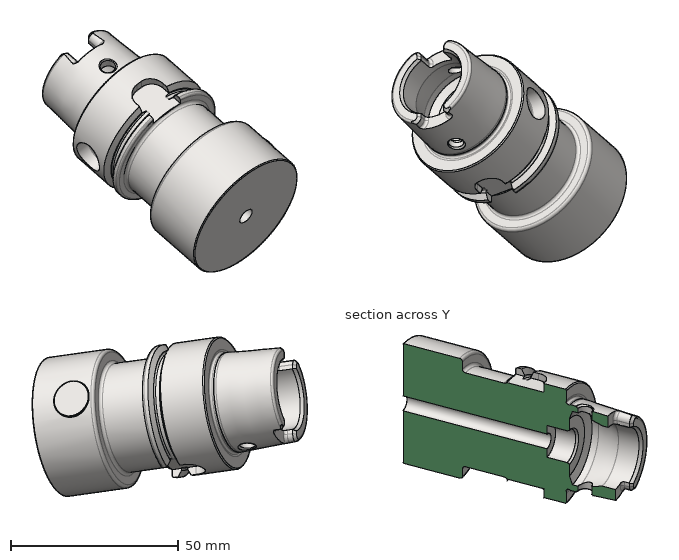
import cadquery as cq
import math


TOTAL_LENGTH = 74.9
SHANK_LENGTH = 19.9
FLANGE_WIDTH = 20.0
HEAD_LENGTH = 20.0
FLANGE_END = SHANK_LENGTH + FLANGE_WIDTH
HEAD_START = TOTAL_LENGTH - HEAD_LENGTH

TAPER_MOUTH_RADIUS = 14.19
TAPER_SLOPE = 0.05
FLANGE_RADIUS = 20.0
NECK_RADIUS = 16.5
HEAD_RADIUS = 21.01

MOUTH_FILLET = 0.75
FLANGE_FRONT_CHAMFER = 0.4
FLANGE_REAR_FILLET = 0.75
NECK_FILLET = 1.0
HEAD_FILLET = 1.0
HEAD_END_CHAMFER = 0.3

TAPER_LENGTH = 18.0
RELIEF_BAND_END = 18.65
RELIEF_CHAMFER = 0.2
RELIEF_RADIUS = 14.87
RELIEF_FILLET = 0.7
RELIEF_OUTER_RADIUS = 16.2
RELIEF_DEPTH = 0.13

GROOVE_CENTER = 35.9
GROOVE_FLOOR_WIDTH = 1.95
GROOVE_FLOOR_RADIUS = 17.4
GROOVE_FILLET = 0.4
GROOVE_FLARE_RADIUS = 18.1
GROOVE_FLARE_WIDTH = (FLANGE_RADIUS - GROOVE_FLARE_RADIUS) * math.tan(math.radians(30))

BORE_RADIUS = 10.45
BORE_CHAMFER_RADIUS = 11.1
BORE_CHAMFER_LENGTH = 1.05
BORE_LENGTH = 7.95
CAVITY_RADIUS = 12.7
CAVITY_CONE_END = 15.7
CAVITY_WALL_END = 18.0
CAVITY_FLOOR_RADIUS = 9.9
CAVITY_FLOOR_X = CAVITY_WALL_END + (CAVITY_RADIUS - CAVITY_FLOOR_RADIUS) * math.tan(math.radians(20))
SOCKET_RADIUS = 5.5
SOCKET_MOUTH_RADIUS = 5.9
SOCKET_CHAMFER_LENGTH = 0.75
SOCKET_DEPTH = 7.5
THROUGH_RADIUS = 2.51

TOP_NOTCH_DEPTH = 6.1
BOTTOM_NOTCH_DEPTH = 3.5
NOTCH_HALF_WIDTH = 4.0
NOTCH_ROUND_START = 11.0
NOTCH_ROUND_RADIUS = 2.0
NOTCH_RUNOUT_ANGLE = 15.0
NOTCH_FLOOR_FILLET = 0.9
NOTCH_MOUTH_CHAMFER = 0.9

CROSS_HOLE_X = 13.85
CROSS_HOLE_RADIUS = 2.285
CROSS_HOLE_SINK_RADIUS = 2.85
CROSS_HOLE_SINK_DEPTH = 0.5

SLOT_FLOOR_HEIGHT = 16.9
SLOT_START = 27.7
TOP_SLOT_HALF_WIDTH = 5.5
BOTTOM_SLOT_HALF_WIDTH = 4.5
SLOT_CORNER_RADIUS = BOTTOM_SLOT_HALF_WIDTH

CHIP_POCKET_X = 26.9
CHIP_POCKET_RADIUS = 5.0
CHIP_POCKET_DEPTH = 4.6
CHIP_POCKET_FILLET = 0.2

SCREW_X = 62.2
SCREW_RADIUS = 5.7
SCREW_LENGTH = 15.0
SCREW_CHAMFER = 0.2

CLEARANCE = 3.75


def taper_radius(x):
    return TAPER_MOUTH_RADIUS + TAPER_SLOPE * x


def make_outside():
    """Turned outside of the holder, solid."""
    band_radius = taper_radius(TAPER_LENGTH)
    relief_fillet_x = SHANK_LENGTH + RELIEF_DEPTH - RELIEF_FILLET
    groove_left = GROOVE_CENTER - GROOVE_FLOOR_WIDTH / 2
    groove_right = GROOVE_CENTER + GROOVE_FLOOR_WIDTH / 2
    outline = (
        cq.Workplane("XZ")
        .moveTo(0, 0)
        .lineTo(0, TAPER_MOUTH_RADIUS - MOUTH_FILLET)
        .radiusArc((MOUTH_FILLET, taper_radius(MOUTH_FILLET)), MOUTH_FILLET)
        .lineTo(TAPER_LENGTH, band_radius)
        .lineTo(RELIEF_BAND_END, band_radius)
        .lineTo(RELIEF_BAND_END + RELIEF_CHAMFER, RELIEF_RADIUS)
        .lineTo(relief_fillet_x, RELIEF_RADIUS)
        .radiusArc((SHANK_LENGTH + RELIEF_DEPTH, RELIEF_RADIUS + RELIEF_FILLET), -RELIEF_FILLET)
        .lineTo(SHANK_LENGTH, RELIEF_OUTER_RADIUS)
        .lineTo(SHANK_LENGTH, FLANGE_RADIUS - FLANGE_FRONT_CHAMFER)
        .lineTo(SHANK_LENGTH + FLANGE_FRONT_CHAMFER, FLANGE_RADIUS)
        .lineTo(groove_left - GROOVE_FLARE_WIDTH, FLANGE_RADIUS)
        .lineTo(groove_left, GROOVE_FLARE_RADIUS)
        .lineTo(groove_left, GROOVE_FLOOR_RADIUS + GROOVE_FILLET)
        .radiusArc((groove_left + GROOVE_FILLET, GROOVE_FLOOR_RADIUS), -GROOVE_FILLET)
        .lineTo(groove_right - GROOVE_FILLET, GROOVE_FLOOR_RADIUS)
        .radiusArc((groove_right, GROOVE_FLOOR_RADIUS + GROOVE_FILLET), -GROOVE_FILLET)
        .lineTo(groove_right, GROOVE_FLARE_RADIUS)
        .lineTo(groove_right + GROOVE_FLARE_WIDTH, FLANGE_RADIUS)
        .lineTo(FLANGE_END - FLANGE_REAR_FILLET, FLANGE_RADIUS)
        .radiusArc((FLANGE_END, FLANGE_RADIUS - FLANGE_REAR_FILLET), FLANGE_REAR_FILLET)
        .lineTo(FLANGE_END, NECK_RADIUS + NECK_FILLET)
        .radiusArc((FLANGE_END + NECK_FILLET, NECK_RADIUS), -NECK_FILLET)
        .lineTo(HEAD_START - NECK_FILLET, NECK_RADIUS)
        .radiusArc((HEAD_START, NECK_RADIUS + NECK_FILLET), -NECK_FILLET)
        .lineTo(HEAD_START, HEAD_RADIUS - HEAD_FILLET)
        .radiusArc((HEAD_START + HEAD_FILLET, HEAD_RADIUS), HEAD_FILLET)
        .lineTo(TOTAL_LENGTH - HEAD_END_CHAMFER, HEAD_RADIUS)
        .lineTo(TOTAL_LENGTH, HEAD_RADIUS - HEAD_END_CHAMFER)
        .lineTo(TOTAL_LENGTH, 0)
        .close()
    )
    return outline.revolve(360, (0, 0), (1, 0))


def make_inside():
    """Hollow of the shank, its socket and the hole along the axis."""
    socket_end = CAVITY_FLOOR_X + SOCKET_DEPTH
    outline = cq.Workplane("XZ").polyline([
        (0, 0),
        (0, BORE_CHAMFER_RADIUS),
        (BORE_CHAMFER_LENGTH, BORE_RADIUS),
        (BORE_LENGTH, BORE_RADIUS),
        (CAVITY_CONE_END, CAVITY_RADIUS),
        (CAVITY_WALL_END, CAVITY_RADIUS),
        (CAVITY_FLOOR_X, CAVITY_FLOOR_RADIUS),
        (CAVITY_FLOOR_X, SOCKET_MOUTH_RADIUS),
        (CAVITY_FLOOR_X + SOCKET_CHAMFER_LENGTH, SOCKET_RADIUS),
        (socket_end, SOCKET_RADIUS),
        (socket_end, THROUGH_RADIUS),
        (TOTAL_LENGTH, THROUGH_RADIUS),
        (TOTAL_LENGTH, 0),
    ]).close()
    return outline.revolve(360, (0, 0), (1, 0))


def notch_profile(growth):
    """Cross-section of a drive notch at x = 0, with its side walls moved outward by growth."""
    half_width = NOTCH_HALF_WIDTH + growth
    radius = NOTCH_ROUND_RADIUS - growth
    center_y = NOTCH_HALF_WIDTH + NOTCH_ROUND_RADIUS
    runout = math.radians(NOTCH_RUNOUT_ANGLE)
    bend = (math.pi - runout) / 2 + runout
    round_middle = (center_y + radius * math.cos(bend), NOTCH_ROUND_START + radius * math.sin(bend))
    round_end = (center_y + radius * math.sin(runout), NOTCH_ROUND_START + radius * math.cos(runout))
    outer_y = BORE_CHAMFER_RADIUS
    outer_z = round_end[1] - (outer_y - round_end[0]) * math.tan(runout)
    bottom = BORE_RADIUS / 2
    top = TAPER_MOUTH_RADIUS + CLEARANCE
    return (
        cq.Workplane("YZ")
        .moveTo(-half_width, bottom)
        .lineTo(half_width, bottom)
        .lineTo(half_width, NOTCH_ROUND_START)
        .threePointArc(round_middle, round_end)
        .lineTo(outer_y, outer_z)
        .lineTo(outer_y, top)
        .lineTo(-outer_y, top)
        .lineTo(-outer_y, outer_z)
        .lineTo(-round_end[0], round_end[1])
        .threePointArc((-round_middle[0], round_middle[1]), (-half_width, NOTCH_ROUND_START))
        .close()
    )


def make_notch(depth):
    """Drive notch at the top of the shank, with rounded floor edges and a chamfered mouth."""
    notch = notch_profile(0).extrude(depth)
    notch = notch.faces(">X").edges().fillet(NOTCH_FLOOR_FILLET)
    mouth_wires = [
        notch_profile(NOTCH_MOUTH_CHAMFER).wire().val(),
        notch_profile(0).wire().val().translate(cq.Vector(NOTCH_MOUTH_CHAMFER, 0, 0)),
    ]
    mouth = cq.Solid.makeLoft(mouth_wires, True)
    entry = notch_profile(NOTCH_MOUTH_CHAMFER).extrude(-CLEARANCE)
    return notch.union(cq.Workplane(mouth)).union(entry)


def upside_down(tool):
    return tool.rotate((0, 0, 0), (1, 0, 0), 180)


def make_cross_hole():
    """Hole across the whole shank along Z, countersunk at both ends."""
    reach = FLANGE_RADIUS
    hole = cq.Workplane("XY").center(CROSS_HOLE_X, 0).circle(CROSS_HOLE_RADIUS).extrude(reach, both=True)
    sink_end = taper_radius(CROSS_HOLE_X)
    sink = (
        cq.Workplane("XZ")
        .polyline([
            (0, sink_end - CROSS_HOLE_SINK_DEPTH),
            (CROSS_HOLE_RADIUS, sink_end - CROSS_HOLE_SINK_DEPTH),
            (CROSS_HOLE_SINK_RADIUS, sink_end),
            (CROSS_HOLE_SINK_RADIUS, reach),
            (0, reach),
        ])
        .close()
        .revolve(360, (0, 0), (0, 1))
        .translate((CROSS_HOLE_X, 0, 0))
    )
    return hole.union(sink).union(upside_down(sink))


def make_slot(half_width):
    """Keyway at the top of the flange: flat floor, rounded end, open toward +X."""
    side_start = SLOT_START + SLOT_CORNER_RADIUS
    end_half_width = half_width - SLOT_CORNER_RADIUS
    outline = (
        cq.Workplane("XY", origin=(0, 0, SLOT_FLOOR_HEIGHT))
        .moveTo(FLANGE_END, -half_width)
        .lineTo(FLANGE_END, half_width)
        .lineTo(side_start, half_width)
        .radiusArc((SLOT_START, end_half_width), -SLOT_CORNER_RADIUS)
    )
    if end_half_width > 0:
        outline = outline.lineTo(SLOT_START, -end_half_width)
    outline = outline.radiusArc((side_start, -half_width), -SLOT_CORNER_RADIUS)
    return outline.close().extrude(CLEARANCE)


def make_chip_pocket():
    return (
        cq.Workplane("XZ", origin=(CHIP_POCKET_X, CHIP_POCKET_DEPTH - FLANGE_RADIUS, 0))
        .circle(CHIP_POCKET_RADIUS)
        .extrude(CHIP_POCKET_DEPTH + CLEARANCE)
        .faces(">Y")
        .edges()
        .fillet(CHIP_POCKET_FILLET)
    )


def screw_cylinder(outer_end):
    """Cylinder along Y from the seat of the clamping screw out to outer_end."""
    seat = HEAD_RADIUS - SCREW_LENGTH
    base = cq.Workplane("XZ", origin=(SCREW_X, outer_end, 0))
    return base.circle(SCREW_RADIUS).extrude(outer_end - seat)


def make_holder():
    holder = make_outside().cut(make_inside())
    holder = holder.cut(make_notch(TOP_NOTCH_DEPTH))
    holder = holder.cut(upside_down(make_notch(BOTTOM_NOTCH_DEPTH)))
    holder = holder.cut(make_cross_hole())
    holder = holder.cut(make_slot(TOP_SLOT_HALF_WIDTH))
    holder = holder.cut(upside_down(make_slot(BOTTOM_SLOT_HALF_WIDTH)))
    holder = holder.cut(make_chip_pocket())
    return holder.cut(screw_cylinder(HEAD_RADIUS + CLEARANCE))


def make_screw():
    return screw_cylinder(HEAD_RADIUS).faces(">Y").edges().chamfer(SCREW_CHAMFER)


holder = make_holder()
screw = make_screw()

result = cq.Compound.makeCompound([holder.val(), screw.val()])